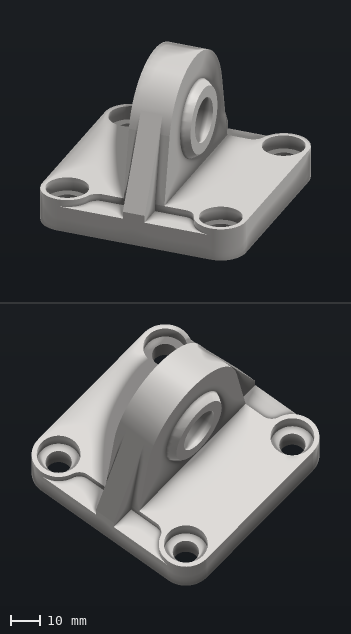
import cadquery as cq
import math

base_side = 75.0
base_height = 12.0
corner_radius = 9.2
hole_offset = base_side / 2 - corner_radius
hole_diameter = 9.0
counterbore_diameter = 15.0
counterbore_depth = 5.0

ledge_depth = 2.6
ledge_fillet = 4.5

total_height = 56.0
eye_radius = 24.0
eye_thickness = 15.0
eye_center_z = total_height - eye_radius
rib_thickness = 8.0

ball_radius = 16.0
ball_width = 21.0
ball_bore_diameter = 16.0


def tangent_point(foot_y):
    """Point on the eye circle, on the +Y side, touched by a line from the base top at foot_y."""
    drop = eye_center_z - base_height
    distance = math.hypot(foot_y, drop)
    angle = math.acos(eye_radius / distance) - math.atan2(drop, foot_y)
    return eye_radius * math.cos(angle), eye_center_z + eye_radius * math.sin(angle)


def make_eye():
    """Wall standing on the base, with a round top and tangent sides."""
    touch_y, touch_z = tangent_point(hole_offset)
    return (
        cq.Workplane("YZ")
        .moveTo(-hole_offset, base_height)
        .lineTo(hole_offset, base_height)
        .lineTo(touch_y, touch_z)
        .threePointArc((0, total_height), (-touch_y, touch_z))
        .close()
        .extrude(eye_thickness / 2, both=True)
    )


def make_ribs():
    """Both ribs as one plate, from the ledge floors up to where the slopes touch the eye."""
    foot_y = base_side / 2
    floor_z = base_height - ledge_depth
    touch_y, touch_z = tangent_point(foot_y)
    outline = [
        (-foot_y, floor_z),
        (foot_y, floor_z),
        (foot_y, base_height),
        (touch_y, touch_z),
        (-touch_y, touch_z),
        (-foot_y, base_height),
    ]
    return cq.Workplane("YZ").polyline(outline).close().extrude(rib_thickness / 2, both=True)


def make_ledge_cutter():
    """Recess at the +Y edge, curving around the two corner bosses."""
    center_distance = corner_radius + ledge_fillet
    fillet_x = hole_offset - math.sqrt(center_distance**2 - ledge_fillet**2)
    fillet_y = hole_offset + ledge_fillet
    boss_angle = math.atan2(ledge_fillet, fillet_x - hole_offset)
    touch_x = hole_offset + corner_radius * math.cos(boss_angle)
    touch_y = hole_offset + corner_radius * math.sin(boss_angle)
    boss_mid_angle = (boss_angle + math.pi / 2) / 2
    boss_mid_x = hole_offset + corner_radius * math.cos(boss_mid_angle)
    boss_mid_y = hole_offset + corner_radius * math.sin(boss_mid_angle)
    fillet_mid_angle = (boss_angle - math.pi - math.pi / 2) / 2
    fillet_mid_x = fillet_x + ledge_fillet * math.cos(fillet_mid_angle)
    fillet_mid_y = fillet_y + ledge_fillet * math.sin(fillet_mid_angle)
    return (
        cq.Workplane("XY", origin=(0, 0, base_height - ledge_depth))
        .moveTo(-fillet_x, hole_offset)
        .lineTo(fillet_x, hole_offset)
        .threePointArc((fillet_mid_x, fillet_mid_y), (touch_x, touch_y))
        .threePointArc((boss_mid_x, boss_mid_y), (hole_offset, base_side / 2))
        .lineTo(-hole_offset, base_side / 2)
        .threePointArc((-boss_mid_x, boss_mid_y), (-touch_x, touch_y))
        .threePointArc((-fillet_mid_x, fillet_mid_y), (-fillet_x, hole_offset))
        .close()
        .extrude(ledge_depth)
    )


def make_base():
    """Rounded square plate with two ledges and four counterbored holes."""
    base = (
        cq.Workplane("XY")
        .rect(base_side, base_side)
        .extrude(base_height)
        .edges("|Z")
        .fillet(corner_radius)
    )
    ledge = make_ledge_cutter()
    base = base.cut(ledge).cut(ledge.mirror("XZ"))
    return (
        base.faces(">Z")
        .workplane(origin=(0, 0, base_height))
        .rect(2 * hole_offset, 2 * hole_offset, forConstruction=True)
        .vertices()
        .cboreHole(hole_diameter, counterbore_diameter, counterbore_depth)
    )


def make_ball_envelope():
    """Full sphere that the ball is cut from and that the housing socket matches."""
    return cq.Workplane("XY").sphere(ball_radius).translate((0, 0, eye_center_z))


def make_housing():
    """Base, eye and ribs in one piece, with a spherical socket through the eye."""
    return make_base().union(make_eye()).union(make_ribs()).cut(make_ball_envelope())


def make_ball():
    """Sphere with flat ends and a bore along X."""
    flats = cq.Workplane("XY").box(ball_width, 2 * ball_radius, 2 * ball_radius)
    bore = cq.Workplane("YZ").circle(ball_bore_diameter / 2).extrude(ball_width, both=True)
    trim = flats.cut(bore).translate((0, 0, eye_center_z))
    return make_ball_envelope().intersect(trim)


housing = make_housing()
ball = make_ball()
result = cq.Compound.makeCompound([housing.solids().val(), ball.solids().val()])